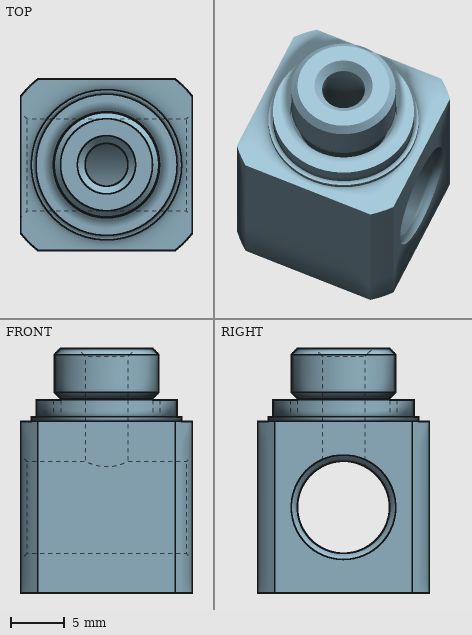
import cadquery as cq

block_side = 16.0
corner_turning_diameter = 20.47
half_side = block_side / 2

total_height = 22.8
thread_diameter = 9.74
thread_root_diameter = 8.57
thread_chamfer = (thread_diameter - thread_root_diameter) / 2
thread_bottom = 18.13

collar_diameter = 13.15
collar_height = 2.0
lip_diameter = 14.0
lip_height = 0.4
groove_diameter = 9.9
groove_depth = collar_height - lip_height

passage_diameter = 4.0
passage_mouth_diameter = 5.43
passage_chamfer = (passage_mouth_diameter - passage_diameter) / 2


def cylinder(diameter, bottom, height):
    """Upright cylinder on the Z axis."""
    return cq.Workplane("XY").workplane(offset=bottom).circle(diameter / 2).extrude(height)


def make_block():
    """Cube whose vertical corners are turned to a common diameter."""
    cube = cq.Workplane("XY").rect(block_side, block_side).extrude(block_side)
    return cube.intersect(cylinder(corner_turning_diameter, 0, block_side))


def make_collar():
    """Stepped ring with a clearance groove around the spigot."""
    ring = cylinder(collar_diameter, block_side, collar_height)
    lip = cylinder(lip_diameter, block_side, lip_height)
    groove_bottom = block_side + collar_height - groove_depth
    groove = cylinder(groove_diameter, groove_bottom, groove_depth)
    return ring.union(lip).cut(groove)


def make_spigot():
    """Root-diameter neck carrying the thread, chamfered at both ends."""
    neck = cylinder(thread_root_diameter, block_side, total_height - block_side)
    thread = cylinder(thread_diameter, thread_bottom, total_height - thread_bottom)
    return neck.union(thread.edges().chamfer(thread_chamfer))


def make_cross_bore():
    """Bore along X through the block, with a chamfered mouth at each end."""
    bore_circle = cq.Workplane("YZ").center(0, half_side).circle(thread_root_diameter / 2)
    bore = bore_circle.extrude(half_side, both=True)
    for direction in (-1, 1):
        mouth = cq.Solid.makeCone(
            thread_diameter / 2,
            thread_root_diameter / 2,
            thread_chamfer,
            cq.Vector(direction * half_side, 0, half_side),
            cq.Vector(-direction, 0, 0),
        )
        bore = bore.union(cq.Workplane(mouth))
    return bore


def make_passage():
    """Vertical hole from the spigot top down to the cross bore, countersunk at the top."""
    hole = cylinder(passage_diameter, half_side, total_height - half_side)
    countersink = cq.Solid.makeCone(
        passage_mouth_diameter / 2,
        passage_diameter / 2,
        passage_chamfer,
        cq.Vector(0, 0, total_height),
        cq.Vector(0, 0, -1),
    )
    return hole.union(cq.Workplane(countersink))


body = make_block().union(make_collar()).union(make_spigot())
result = body.cut(make_cross_bore()).cut(make_passage())